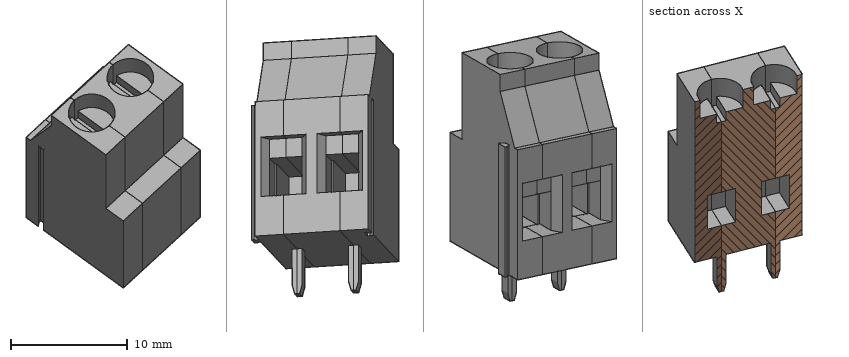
import cadquery as cq


width = 11.2
total_height = 22
height = 18.0
shoulder_height = 12.0
shoulder_width = 0.5
tower_front = 2.9
tower_front_foot = 16.43
tower_back = 9.2
back_step_height = 10.0

length = 10.0
pole_count = 2
pitch = length / pole_count
pole_centres = [pitch * (pole + 0.5) for pole in range(pole_count)]

well_x = 5.35
well_diameter = 4.0
well_depth = 2.0
slot_width = 0.84
slot_depth = 1.0

entry_floor = 3.5
mouth_height = 5.3
mouth_width = 4.0
mouth_depth = 0.92
chamber_height = 3.6
chamber_width = 2.88
chamber_end = 2.84
recess_width = 2.57
recess_drop = 0.09
recess_end = well_x + well_diameter / 2

pin_x = 5.48
pin_thickness = 1.0
pin_width = 0.9
pin_length = total_height - height
pin_tip_width = 0.45
pin_tip_length = 0.8

dovetail_x = 1.7
dovetail_neck = 0.57
dovetail_head = 1.08
dovetail_depth = 0.6
dovetail_head_depth = 0.22


def housing_block():
    """Full-length housing with the stepped outline."""
    outline = [
        (0, 0),
        (width, 0),
        (width, back_step_height),
        (tower_back, back_step_height),
        (tower_back, height),
        (tower_front, height),
        (tower_front, tower_front_foot),
        (shoulder_width, shoulder_height),
        (0, shoulder_height),
    ]
    return cq.Workplane("XZ").polyline(outline).close().extrude(-length)


def screw_well(y):
    """Round well in the roof and the screwdriver slot in its floor."""
    well = cq.Workplane("XY", origin=(well_x, y, height)).circle(well_diameter / 2).extrude(-well_depth)
    slot_zone = cq.Workplane("XY", origin=(well_x, y, height - well_depth))
    slot = (
        slot_zone.rect(well_diameter, slot_width).extrude(-slot_depth)
        .intersect(slot_zone.circle(well_diameter / 2).extrude(-slot_depth))
    )
    return well.union(slot)


def wire_entry(y):
    """Opening in the entry side that narrows in steps towards the clamp."""
    floor = cq.Workplane("XY", origin=(0, y, entry_floor))
    mouth_outline = [
        (0, -mouth_width / 2),
        (mouth_depth, -chamber_width / 2),
        (mouth_depth, chamber_width / 2),
        (0, mouth_width / 2),
    ]
    mouth = floor.polyline(mouth_outline).close().extrude(mouth_height)
    chamber = floor.rect(2 * chamber_end, chamber_width).extrude(chamber_height)
    recess_floor = floor.workplane(offset=-recess_drop)
    recess = (
        recess_floor.center((chamber_end + recess_end) / 2, 0)
        .rect(recess_end - chamber_end, recess_width)
        .extrude(chamber_height + recess_drop)
    )
    return mouth.union(chamber).union(recess)


def solder_pin(y):
    """Flat pin below the housing with a tip that tapers in Y."""
    taper_start = pin_tip_length - pin_length
    outline = [
        (y - pin_width / 2, 0),
        (y - pin_width / 2, taper_start),
        (y - pin_tip_width / 2, -pin_length),
        (y + pin_tip_width / 2, -pin_length),
        (y + pin_width / 2, taper_start),
        (y + pin_width / 2, 0),
    ]
    return (
        cq.Workplane("YZ", origin=(pin_x, 0, 0))
        .polyline(outline).close()
        .extrude(pin_thickness / 2, both=True)
    )


def dovetail(y):
    """Upright dovetail bar whose neck starts at the given Y and whose head points to +Y."""
    head_start = dovetail_depth - dovetail_head_depth
    outline = [
        (-dovetail_neck / 2, 0),
        (dovetail_neck / 2, 0),
        (dovetail_head / 2, head_start),
        (dovetail_head / 2, dovetail_depth),
        (-dovetail_head / 2, dovetail_depth),
        (-dovetail_head / 2, head_start),
    ]
    return cq.Workplane("XY", origin=(dovetail_x, y, 0)).polyline(outline).close().extrude(shoulder_height)


def plain_block():
    """Housing with all wells, wire entries and pins, before the dovetails and the division."""
    block = housing_block()
    for y in pole_centres:
        block = block.cut(screw_well(y)).cut(wire_entry(y)).union(solder_pin(y))
    return block


def slice_between(block, y_start, y_end):
    """The part of the block between two planes across Y."""
    slab = (
        cq.Workplane("XY", origin=(0, y_start, -pin_length))
        .box(width, y_end - y_start, total_height, centered=False)
    )
    return block.intersect(slab, clean=False).solids()


def first_end_section(block):
    """End slice with the dovetail groove in its outer face."""
    return slice_between(block.cut(dovetail(0)), 0, pole_centres[0])


def middle_section(block, y_start, y_end):
    """Slice from the middle plane of one pole to that of the next."""
    return slice_between(block, y_start, y_end)


def last_end_section(block):
    """End slice with the dovetail tongue on its outer face."""
    return slice_between(block.union(dovetail(length)), pole_centres[-1], length + dovetail_depth)


block = plain_block()
first_end = first_end_section(block)
middles = [
    middle_section(block, y_start, y_end)
    for y_start, y_end in zip(pole_centres, pole_centres[1:])
]
last_end = last_end_section(block)

result = cq.Compound.makeCompound(
    [first_end.val(), *[middle.val() for middle in middles], last_end.val()]
)